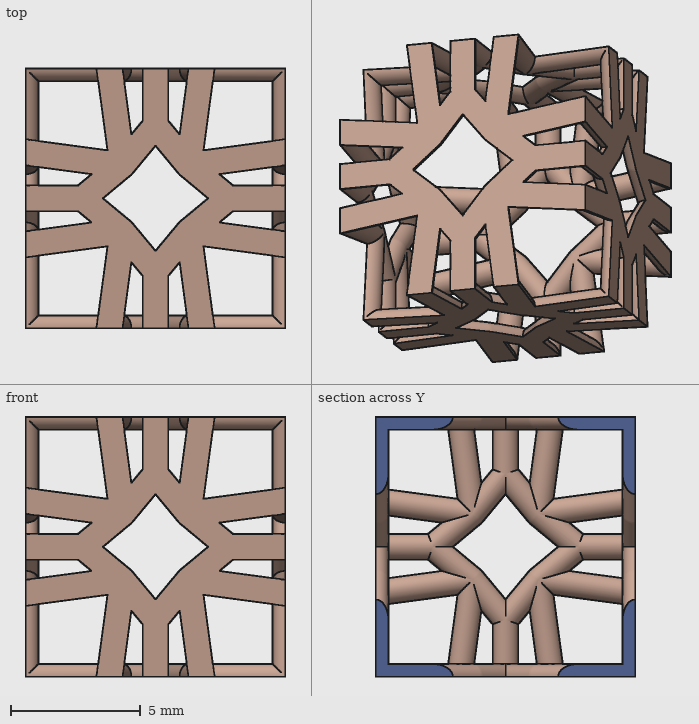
import cadquery as cq

CELL_SIZE = 10.0
STRUT_RADIUS = 0.5
AXIS_NODE = 2.80
DIAGONAL_NODE = 1.27
EDGE_NODE = 1.77

HALF_CELL = CELL_SIZE / 2
OVERRUN = 2 * STRUT_RADIUS
QUARTER_TURNS = (0, 90, 180, 270)
ORIGIN = (0, 0, 0)
X_AXIS = (1, 0, 0)
Y_AXIS = (0, 1, 0)
Z_AXIS = (0, 0, 1)


def strut(start, end):
    """Round strut between two points."""
    axis = cq.Vector(*end) - cq.Vector(*start)
    return cq.Solid.makeCylinder(STRUT_RADIUS, axis.Length, cq.Vector(*start), axis)


def node(center):
    """Ball that rounds off the joint between struts."""
    ball = cq.Workplane("XY").sphere(STRUT_RADIUS).val()
    return ball.translate(cq.Vector(*center))


def web_quarter():
    """Struts and nodes around the +Y centre line of a web in the plane z = 0."""
    strut_end = HALF_CELL + OVERRUN
    splay = (EDGE_NODE - DIAGONAL_NODE) / (HALF_CELL - DIAGONAL_NODE)
    splayed_end = EDGE_NODE + splay * OVERRUN
    axis_node = (0, AXIS_NODE, 0)
    left_node = (-DIAGONAL_NODE, DIAGONAL_NODE, 0)
    right_node = (DIAGONAL_NODE, DIAGONAL_NODE, 0)
    return [
        strut(axis_node, (0, strut_end, 0)),
        strut(axis_node, left_node),
        strut(axis_node, right_node),
        strut(left_node, (-splayed_end, strut_end, 0)),
        strut(right_node, (splayed_end, strut_end, 0)),
        node(axis_node),
        node(right_node),
    ]


def face_web():
    """Web of the top face, trimmed to the cell."""
    bodies = []
    for turn in QUARTER_TURNS:
        for body in web_quarter():
            bodies.append(body.rotate(cq.Vector(ORIGIN), cq.Vector(Z_AXIS), turn))
    web = bodies[0].fuse(*bodies[1:]).translate(cq.Vector(0, 0, HALF_CELL))
    cell = cq.Workplane("XY").box(CELL_SIZE, CELL_SIZE, CELL_SIZE)
    return cell.intersect(cq.Workplane(obj=web))


def lattice_cell():
    """The web repeated on all six faces of the cell."""
    top = face_web()
    cell = top
    for turn in QUARTER_TURNS[1:]:
        cell = cell.union(top.rotate(ORIGIN, X_AXIS, turn))
    for turn in (-90, 90):
        cell = cell.union(top.rotate(ORIGIN, Y_AXIS, turn))
    return cell


result = lattice_cell().solids()